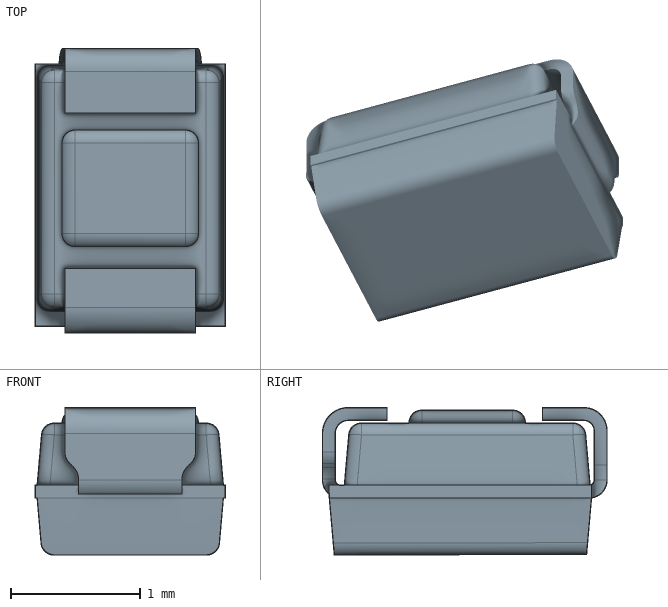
import cadquery as cq
import math

TOTAL_HEIGHT = 1.14
FLANGE_BOTTOM = 0.44
FLANGE_TOP = 0.54
BODY_TOP = 1.02
PAD_TOP = 1.12

FLANGE_WIDTH = 1.47
FLANGE_BACK = 0.98
FLANGE_FRONT = -1.047
BODY_WIDTH = 1.44
UPPER_BODY_LENGTH = 1.9
BODY_CENTRE_Y = 0.019
DRAFT_ANGLE = 5
EDGE_RADIUS = 0.1

UNDERSIDE_RISE = 0.005

PAD_WIDTH = 1.054
PAD_LENGTH = 0.9

LEAD_SPAN = 2.2
LEAD_THICKNESS = FLANGE_TOP - FLANGE_BOTTOM
LEAD_WIDTH = 1.01
LEAD_TIP_LENGTH = 0.5
LEAD_ROOT_LENGTH = 0.2
LOWER_BEND_RADIUS = 0.14
FRONT_UPPER_BEND_RADIUS = 0.2
BACK_UPPER_BEND_RADIUS = 0.18

NECK_WIDTH = 0.8
NECK_ARC_RADIUS = 0.125
NECK_SLOPE = 45
NECK_START = 0.797

FLARE_START = 0.694
FLARE_ARC_END_WIDTH = 1.035
FLARE_ROOT_WIDTH = 1.1


def make_flange():
    """Sharp-edged slab at the parting line of the body."""
    length = FLANGE_BACK - FLANGE_FRONT
    return (
        cq.Workplane("XY", origin=(0, (FLANGE_BACK + FLANGE_FRONT) / 2, FLANGE_BOTTOM))
        .rect(FLANGE_WIDTH, length)
        .extrude(FLANGE_TOP - FLANGE_BOTTOM)
    )


def make_lower_body():
    """Block narrowing downwards, its underside rising slightly to the back, its long edges rounded."""
    length = FLANGE_BACK - FLANGE_FRONT
    rise_wedge = (
        cq.Workplane("YZ")
        .polyline([(FLANGE_FRONT, 0), (FLANGE_BACK, 0), (FLANGE_BACK, UNDERSIDE_RISE)])
        .close()
        .extrude(FLANGE_WIDTH / 2, both=True)
    )
    return (
        cq.Workplane("XY", origin=(0, (FLANGE_BACK + FLANGE_FRONT) / 2, FLANGE_BOTTOM))
        .rect(BODY_WIDTH, length)
        .extrude(-FLANGE_BOTTOM, taper=DRAFT_ANGLE)
        .cut(rise_wedge)
        .faces("<Z")
        .edges("not(|X)")
        .fillet(EDGE_RADIUS)
    )


def make_upper_body():
    """Block narrowing upwards, rounded on its corners and around its top."""
    return (
        cq.Workplane("XY", origin=(0, BODY_CENTRE_Y, FLANGE_TOP))
        .rect(BODY_WIDTH, UPPER_BODY_LENGTH)
        .extrude(BODY_TOP - FLANGE_TOP, taper=DRAFT_ANGLE)
        .edges("not(<Z)")
        .fillet(EDGE_RADIUS)
    )


def make_pad():
    """Raised pad; it starts inside the body so that its rounded top edge reaches the body top."""
    return (
        cq.Workplane("XY", origin=(0, BODY_CENTRE_Y, FLANGE_TOP))
        .rect(PAD_WIDTH, PAD_LENGTH)
        .extrude(PAD_TOP - FLANGE_TOP)
        .edges("not(<Z)")
        .fillet(EDGE_RADIUS)
    )


def make_lead_strip(upper_bend_radius, width):
    """C-shaped strip on the +Y end: tip on top, upright outside, root in the flange."""
    outer = LEAD_SPAN / 2
    inner = outer - LEAD_THICKNESS
    tip = outer - LEAD_TIP_LENGTH
    root = outer - LEAD_ROOT_LENGTH
    tip_underside = TOTAL_HEIGHT - LEAD_THICKNESS
    upper_bend_y = outer - upper_bend_radius
    upper_bend_z = TOTAL_HEIGHT - upper_bend_radius
    lower_bend_y = outer - LOWER_BEND_RADIUS
    lower_bend_z = FLANGE_BOTTOM + LOWER_BEND_RADIUS
    return (
        cq.Workplane("YZ")
        .moveTo(tip, TOTAL_HEIGHT)
        .lineTo(upper_bend_y, TOTAL_HEIGHT)
        .tangentArcPoint((outer, upper_bend_z), relative=False)
        .lineTo(outer, lower_bend_z)
        .tangentArcPoint((lower_bend_y, FLANGE_BOTTOM), relative=False)
        .lineTo(root, FLANGE_BOTTOM)
        .lineTo(root, FLANGE_TOP)
        .lineTo(lower_bend_y, FLANGE_TOP)
        .tangentArcPoint((inner, lower_bend_z), relative=False)
        .lineTo(inner, upper_bend_z)
        .tangentArcPoint((upper_bend_y, tip_underside), relative=False)
        .lineTo(tip, tip_underside)
        .close()
        .extrude(width / 2, both=True)
    )


def start_lead_outline(shape_start):
    """Right half of a lead outline, from the top centre down to where its width starts to change."""
    return (
        cq.Workplane("XZ")
        .moveTo(0, TOTAL_HEIGHT)
        .lineTo(LEAD_WIDTH / 2, TOTAL_HEIGHT)
        .lineTo(LEAD_WIDTH / 2, shape_start)
    )


def finish_lead_outline(half_outline):
    """Close a half outline along the flange bottom, mirror it and extrude it over the +Y half."""
    return half_outline.lineTo(0, FLANGE_BOTTOM).mirrorY().extrude(-LEAD_SPAN)


def make_front_lead():
    """Lead with a narrowed neck, shaped on the +Y end and mirrored to the -Y end."""
    slope = math.radians(NECK_SLOPE)
    arc_inset = NECK_ARC_RADIUS * (1 - math.cos(slope))
    arc_drop = NECK_ARC_RADIUS * math.sin(slope)
    slope_run = (LEAD_WIDTH - NECK_WIDTH) / 2 - 2 * arc_inset
    half_outline = (
        start_lead_outline(NECK_START)
        .tangentArcPoint((-arc_inset, -arc_drop))
        .line(-slope_run, -slope_run / math.tan(slope))
        .tangentArcPoint((-arc_inset, -arc_drop))
        .lineTo(NECK_WIDTH / 2, FLANGE_BOTTOM)
    )
    strip = make_lead_strip(FRONT_UPPER_BEND_RADIUS, LEAD_WIDTH)
    return strip.intersect(finish_lead_outline(half_outline)).mirror("XZ")


def make_back_lead():
    """Lead whose sides curve outwards, then run straight around the lower bend."""
    flare_arc_end = FLANGE_BOTTOM + LOWER_BEND_RADIUS
    half_outline = (
        start_lead_outline(FLARE_START)
        .tangentArcPoint((FLARE_ARC_END_WIDTH / 2, flare_arc_end), relative=False)
        .lineTo(FLARE_ROOT_WIDTH / 2, FLANGE_BOTTOM)
    )
    strip = make_lead_strip(BACK_UPPER_BEND_RADIUS, FLARE_ROOT_WIDTH)
    return strip.intersect(finish_lead_outline(half_outline))


result = (
    make_flange()
    .union(make_lower_body())
    .union(make_upper_body())
    .union(make_pad())
    .union(make_front_lead())
    .union(make_back_lead())
)